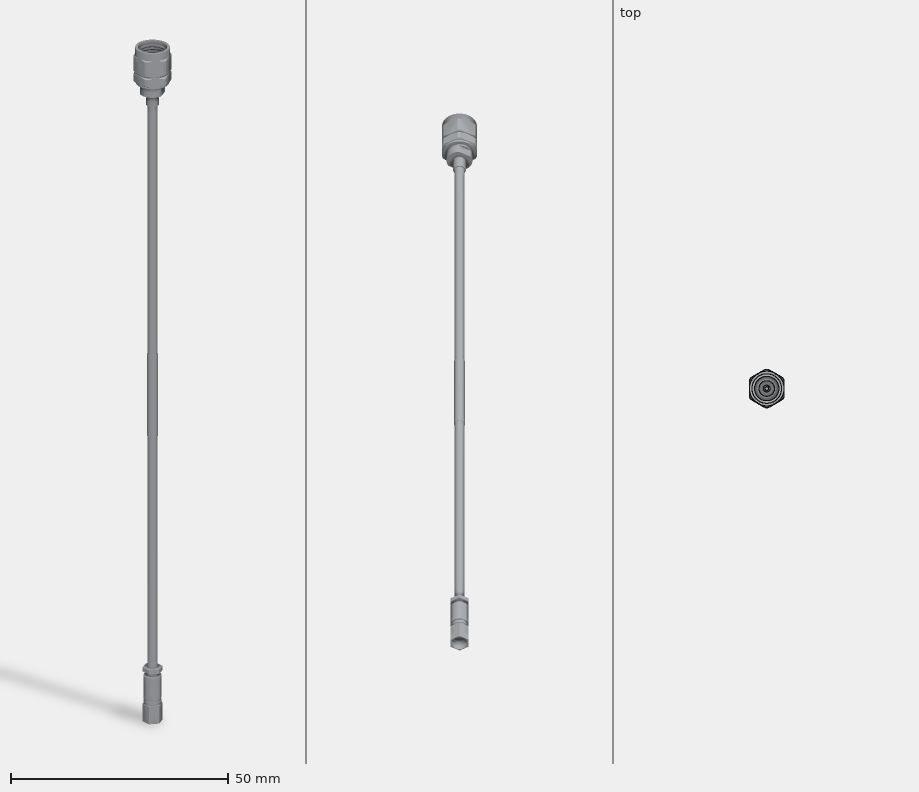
import cadquery as cq
import math

TOTAL_LENGTH = 170.0

NUT_BOTTOM = 161.0
NUT_GROOVE_BOTTOM = 163.8
NUT_GROOVE_TOP = 164.1
NUT_GROOVE_DIAMETER = 7.7
NUT_SKIRT_TOP = 161.5
NUT_LIP_BOTTOM = 168.2
NUT_FLATS = 8.0
NUT_CORNER_DIAMETER = 8.8
NUT_BORE_DIAMETER = 5.6
NUT_MOUTH_DIAMETER = 6.8
NUT_MOUTH_BOTTOM = 169.2
THREAD_DIAMETER = 6.3
THREAD_PITCH = 0.7
THREAD_TOP = 168.9
THREAD_TURNS = 4
CHAMFER_ANGLE = 30.0

COLLAR_DIAMETER = 6.0
COLLAR_FLATS = 5.1
COLLAR_RIM = 0.5
COLLAR_BOTTOM = 158.5
FERRULE_DIAMETER = 2.9
FERRULE_BOTTOM = 155.5
SHELL_BORE_DIAMETER = 3.5
SOCKET_TOP = 166.0
INSULATOR_TOP = 165.3
PIN_DIAMETER = 1.5
PIN_TOP = 167.3
PIN_CHAMFER = 0.3

CABLE_DIAMETER = 2.4
SLEEVE_WALL = 0.09
SLEEVE_BOTTOM = 72.0
SLEEVE_TOP = 92.5

HEX_FLATS = 4.0
HEX_END_TOP = 4.5
HEX_BORE_DIAMETER = 3.7
HEX_BORE_DEPTH = 2.7
LOWER_NECK_DIAMETER = 3.7
RING_DIAMETER = 4.0
RING_BOTTOM = 5.0
RING_TOP = 5.5
BARREL_DIAMETER = 4.3
BARREL_BOTTOM = 6.0
BARREL_TOP = 11.5
UPPER_NECK_DIAMETER = 2.9
FLANGE_BOTTOM = 12.5
FLANGE_TOP = 13.6


def cylinder(diameter, bottom, top):
    return cq.Workplane("XY").workplane(offset=bottom).circle(diameter / 2).extrude(top - bottom)


def hexagon(across_flats, bottom, top):
    """Hexagonal prism with two flats facing along X and two corners along Y."""
    half_side_angle = 30
    corner_diameter = across_flats / math.cos(math.radians(half_side_angle))
    outline = cq.Workplane("XY").workplane(offset=bottom).polygon(6, corner_diameter)
    return outline.extrude(top - bottom).rotate((0, 0, 0), (0, 0, 1), half_side_angle)


def flatted(diameter, across_flats, bottom, top):
    """Cylinder with two flats facing along X."""
    slab = cq.Workplane("XY").workplane(offset=bottom).rect(across_flats, diameter).extrude(top - bottom)
    return cylinder(diameter, bottom, top).intersect(slab)


def nut_band(bottom, top):
    """Hex band whose corners are turned down and chamfered at both ends."""
    drop = (NUT_CORNER_DIAMETER - NUT_FLATS) / 2 * math.tan(math.radians(CHAMFER_ANGLE))
    corner_radius = NUT_CORNER_DIAMETER / 2
    end_radius = NUT_FLATS / 2
    turned = (
        cq.Workplane("XZ")
        .moveTo(0, bottom)
        .lineTo(end_radius, bottom)
        .lineTo(corner_radius, bottom + drop)
        .lineTo(corner_radius, top - drop)
        .lineTo(end_radius, top)
        .lineTo(0, top)
        .close()
        .revolve(360, (0, 0, 0), (0, 1, 0))
    )
    return hexagon(NUT_FLATS, bottom, top).intersect(turned)


def thread_groove(top):
    """V-shaped ring that is cut from the bore wall for one turn of the thread."""
    bore_radius = NUT_BORE_DIAMETER / 2
    return (
        cq.Workplane("XZ")
        .moveTo(0, top)
        .lineTo(bore_radius, top)
        .lineTo(THREAD_DIAMETER / 2, top - THREAD_PITCH / 2)
        .lineTo(bore_radius, top - THREAD_PITCH)
        .lineTo(0, top - THREAD_PITCH)
        .close()
        .revolve(360, (0, 0, 0), (0, 1, 0))
    )


def make_coupling_nut():
    lip = cylinder(NUT_FLATS, NUT_LIP_BOTTOM, TOTAL_LENGTH)
    core = cylinder(NUT_GROOVE_DIAMETER, NUT_BOTTOM, NUT_LIP_BOTTOM)
    lower_band = nut_band(NUT_SKIRT_TOP, NUT_GROOVE_BOTTOM)
    upper_band = nut_band(NUT_GROOVE_TOP, NUT_LIP_BOTTOM)
    nut = core.union(lower_band).union(upper_band).union(lip)
    nut = nut.cut(cylinder(NUT_BORE_DIAMETER, NUT_BOTTOM, TOTAL_LENGTH))
    nut = nut.cut(cylinder(NUT_MOUTH_DIAMETER, NUT_MOUTH_BOTTOM, TOTAL_LENGTH))
    for turn in range(THREAD_TURNS):
        nut = nut.cut(thread_groove(THREAD_TOP - turn * THREAD_PITCH))
    return nut


def make_upper_connector():
    flats_top = NUT_BOTTOM - COLLAR_RIM
    body = cylinder(FERRULE_DIAMETER, FERRULE_BOTTOM, COLLAR_BOTTOM)
    body = body.union(flatted(COLLAR_DIAMETER, COLLAR_FLATS, COLLAR_BOTTOM, flats_top))
    body = body.union(cylinder(COLLAR_DIAMETER, flats_top, NUT_BOTTOM))
    shell = cylinder(NUT_BORE_DIAMETER, NUT_BOTTOM, SOCKET_TOP)
    body = body.union(shell.cut(cylinder(SHELL_BORE_DIAMETER, INSULATOR_TOP, SOCKET_TOP)))
    return body.union(cylinder(PIN_DIAMETER, INSULATOR_TOP, PIN_TOP).faces(">Z").chamfer(PIN_CHAMFER))


def make_cable():
    return cylinder(CABLE_DIAMETER, FLANGE_TOP, FERRULE_BOTTOM)


def make_sleeve():
    outer = cylinder(CABLE_DIAMETER + 2 * SLEEVE_WALL, SLEEVE_BOTTOM, SLEEVE_TOP)
    return outer.cut(cylinder(CABLE_DIAMETER, SLEEVE_BOTTOM, SLEEVE_TOP))


def make_lower_connector():
    body = hexagon(HEX_FLATS, 0, HEX_END_TOP)
    body = body.cut(cylinder(HEX_BORE_DIAMETER, 0, HEX_BORE_DEPTH))
    body = body.union(cylinder(LOWER_NECK_DIAMETER, HEX_END_TOP, BARREL_BOTTOM))
    body = body.union(cylinder(RING_DIAMETER, RING_BOTTOM, RING_TOP))
    body = body.union(flatted(BARREL_DIAMETER, HEX_FLATS, BARREL_BOTTOM, BARREL_TOP))
    body = body.union(cylinder(UPPER_NECK_DIAMETER, BARREL_TOP, FLANGE_BOTTOM))
    return body.union(hexagon(HEX_FLATS, FLANGE_BOTTOM, FLANGE_TOP))


coupling_nut = make_coupling_nut()
upper_connector = make_upper_connector()
cable = make_cable()
sleeve = make_sleeve()
lower_connector = make_lower_connector()

result = cq.Compound.makeCompound(
    [coupling_nut.val(), upper_connector.val(), cable.val(), sleeve.val(), lower_connector.val()]
)